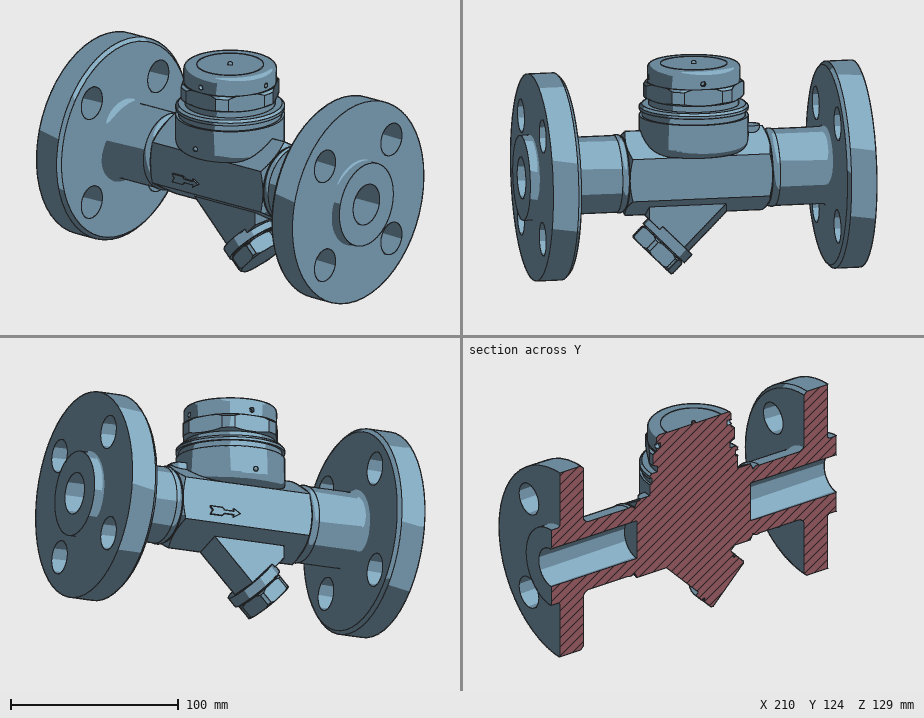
import cadquery as cq
import math


LENGTH = 210.0
FLANGE_DIA = 124.0
FLANGE_THICKNESS = 17.6
FLANGE_CHAMFER = 2.0
RAISED_FACE_DIA = 50.8
RAISED_FACE_HEIGHT = 6.3
RAISED_FACE_FILLET = 1.5
BOLT_CIRCLE_DIA = 88.5
BOLT_HOLE_DIA = 20.0
BOLT_COUNT = 4
PIPE_DIA = 46.0
PIPE_FILLET = 4.0
BEAD_LENGTH = 4.2
BEAD_RISE = 0.5
BEAD_GAP_WIDTH = 0.5
BEAD_GAP_DIA = 43.7
BORE_DIA = 25.0
BORE_DEPTH = 63.0

BODY_LENGTH = 87.0
BODY_FLATS = 44.5
BODY_CORNER_RADIUS = BODY_FLATS / math.sqrt(3)
BODY_CHAMFER_LENGTH = 1.7

LUG_X = -34.6
LUG_WIDTH = 10.5
LUG_TOP = 26.7

TOWER_DIA = 65.0
TOWER_BOTTOM = 13.0
TOWER_FILLET = 5.2
GROOVE_BOTTOM = 34.0
GROOVE_TOP = 37.8
GROOVE_DIA = 62.0
COLLAR_TOP = 41.0
COLLAR_CHAMFER = 1.5
NECK_DIA = 54.0
HEX_BOTTOM = 44.5
HEX_TOP = 54.8
HEX_FLATS = 55.5
HEX_CORNER_DIA = 60.0
HEX_CHAMFER = 1.5
CAP_DIA = 55.5
CAP_TOP = 65.5
CAP_FILLET = 3.0
CAP_RECESS_DIA = 40.0
CAP_RECESS_DEPTH = 0.2
CAP_HOLE_DIA = 3.0
CAP_HOLE_Z = 58.2
CAP_HOLE_DEPTH = 3.0
CAP_HOLE_COUNT = 4

BRANCH_ANGLE = 45.0
BRANCH_OFFSET = 17.8
BRANCH_WIDTH = 25.2
BRANCH_LENGTH = 39.5
BRANCH_UPPER_SIDE = 26.2
BRANCH_MAX_X = 29.6
PLUG_COLLAR_DIA = 34.0
PLUG_COLLAR_START = 37.0
PLUG_COLLAR_END = 43.7
PLUG_START = 44.5
PLUG_END = 54.0
PLUG_FLATS = 30.2
PLUG_CORNER_DIA = 33.5
PLUG_CHAMFER = 1.0

DOT_DIA = 3.0
TOWER_DOT_Z = 20.5

ARROW_TAIL_X = -25.6
ARROW_TIP_X = -5.7
ARROW_Z = -5.7
ARROW_HALF_HEIGHT = 2.5
ARROW_SHAFT_HALF_HEIGHT = 1.0
ARROW_NOTCH = 1.7
ARROW_HEAD_LENGTH = 4.2
ARROW_TAIL_LENGTH = 8.0
ARROW_RELIEF = 1.3


def disc(diameter, bottom, top):
    """Cylinder round the Z axis between two heights."""
    return cq.Workplane("XY", origin=(0, 0, bottom)).circle(diameter / 2).extrude(top - bottom)


def hexagon(across_flats):
    """Hexagon outline with a corner on the local X axis."""
    return cq.Workplane("XY").polygon(6, across_flats * 2 / math.sqrt(3))


def chamfered_nut(across_flats, corner_dia, bottom, top, bottom_chamfer, top_chamfer):
    """Hexagon along Z with its corners turned down; a chamfer is (radial, axial)."""
    radius = corner_dia / 2
    turned = (
        cq.Workplane("XZ")
        .moveTo(0, bottom)
        .lineTo(radius - bottom_chamfer[0], bottom)
        .lineTo(radius, bottom + bottom_chamfer[1])
        .lineTo(radius, top - top_chamfer[1])
        .lineTo(radius - top_chamfer[0], top)
        .lineTo(0, top)
        .close()
        .revolve(360, (0, 0, 0), (0, 1, 0))
    )
    prism = hexagon(across_flats).extrude(top - bottom).translate((0, 0, bottom))
    return prism.intersect(turned)


def flanged_end():
    """Flange with its raised face, pipe and weld bead on the -X side."""
    face_x = -LENGTH / 2
    front_x = face_x + RAISED_FACE_HEIGHT
    back_x = front_x + FLANGE_THICKNESS
    body_x = -BODY_LENGTH / 2
    face_radius = RAISED_FACE_DIA / 2
    flange_radius = FLANGE_DIA / 2
    pipe_radius = PIPE_DIA / 2
    gap_x = body_x - BEAD_GAP_WIDTH
    gap_radius = BEAD_GAP_DIA / 2
    bead_x = gap_x - BEAD_LENGTH
    arc_mid = 1 - math.sqrt(0.5)
    turned = (
        cq.Workplane("XY")
        .moveTo(face_x, 0)
        .lineTo(face_x, face_radius)
        .lineTo(front_x - RAISED_FACE_FILLET, face_radius)
        .threePointArc(
            (front_x - RAISED_FACE_FILLET * arc_mid, face_radius + RAISED_FACE_FILLET * arc_mid),
            (front_x, face_radius + RAISED_FACE_FILLET),
        )
        .lineTo(front_x, flange_radius)
        .lineTo(back_x - FLANGE_CHAMFER, flange_radius)
        .lineTo(back_x, flange_radius - FLANGE_CHAMFER)
        .lineTo(back_x, pipe_radius + PIPE_FILLET)
        .threePointArc(
            (back_x + PIPE_FILLET * arc_mid, pipe_radius + PIPE_FILLET * arc_mid),
            (back_x + PIPE_FILLET, pipe_radius),
        )
        .lineTo(bead_x, pipe_radius)
        .threePointArc((bead_x + BEAD_LENGTH / 2, pipe_radius + BEAD_RISE), (gap_x, gap_radius))
        .lineTo(body_x, gap_radius)
        .lineTo(body_x, 0)
        .close()
        .revolve(360, (0, 0, 0), (1, 0, 0))
    )
    bolt_holes = (
        cq.Workplane("YZ", origin=(face_x, 0, 0))
        .polarArray(BOLT_CIRCLE_DIA / 2, 180 / BOLT_COUNT, 360, BOLT_COUNT)
        .circle(BOLT_HOLE_DIA / 2)
        .extrude(back_x - face_x)
    )
    return turned.cut(bolt_holes)


def bore():
    """Blind flow bore entering from the -X end."""
    return cq.Workplane("YZ", origin=(-LENGTH / 2, 0, 0)).circle(BORE_DIA / 2).extrude(BORE_DEPTH)


def body():
    """Hexagonal body along X with flats on +/-Y and turned-down ends."""
    chamfer = (BODY_CORNER_RADIUS - BODY_FLATS / 2, BODY_CHAMFER_LENGTH)
    half = BODY_LENGTH / 2
    nut = chamfered_nut(BODY_FLATS, 2 * BODY_CORNER_RADIUS, -half, half, chamfer, chamfer)
    return nut.rotate((0, 0, 0), (0, 1, 0), 90)


def lug():
    """Round-nosed lug running along the top ridge into the tower."""
    nose = cq.Workplane("XY").center(LUG_X, 0).circle(LUG_WIDTH / 2).extrude(LUG_TOP)
    web = cq.Workplane("XY").center(LUG_X / 2, 0).rect(-LUG_X, LUG_WIDTH).extrude(LUG_TOP)
    return nose.union(web)


def tower():
    """Round tower with groove, collar, neck, hexagon and cap."""
    base = disc(TOWER_DIA, TOWER_BOTTOM, GROOVE_BOTTOM).faces("<Z").edges().fillet(TOWER_FILLET)
    groove = disc(GROOVE_DIA, GROOVE_BOTTOM, GROOVE_TOP)
    collar = disc(TOWER_DIA, GROOVE_TOP, COLLAR_TOP).faces(">Z").edges().chamfer(COLLAR_CHAMFER)
    neck = disc(NECK_DIA, COLLAR_TOP, HEX_BOTTOM)
    nut = chamfered_nut(
        HEX_FLATS,
        HEX_CORNER_DIA,
        HEX_BOTTOM,
        HEX_TOP,
        ((HEX_CORNER_DIA - NECK_DIA) / 2, HEX_CHAMFER),
        (HEX_CHAMFER, HEX_CHAMFER),
    )
    return base.union(groove).union(collar).union(neck).union(nut).union(cap())


def cap():
    """Rounded cap with a shallow recess on top and blind holes round its side."""
    blank = disc(CAP_DIA, HEX_TOP, CAP_TOP).faces(">Z").edges().fillet(CAP_FILLET)
    recess = disc(CAP_RECESS_DIA, CAP_TOP - CAP_RECESS_DEPTH, CAP_TOP)
    blank = blank.cut(recess)
    hole = (
        cq.Workplane("YZ", origin=(CAP_DIA / 2 - CAP_HOLE_DEPTH, 0, CAP_HOLE_Z))
        .circle(CAP_HOLE_DIA / 2)
        .extrude(2 * CAP_HOLE_DEPTH)
    )
    for index in range(CAP_HOLE_COUNT):
        blank = blank.cut(hole.rotate((0, 0, 0), (0, 0, 1), index * 360 / CAP_HOLE_COUNT))
    return blank


def dot(x, y, z):
    """Small spherical bump."""
    return cq.Workplane("XY", origin=(x, y, z)).sphere(DOT_DIA / 2)


def branch():
    """Sloping strainer branch with its collar and hexagon plug."""
    half_width = BRANCH_WIDTH / 2
    keel = BRANCH_WIDTH / math.sqrt(3)
    block = (
        cq.Workplane("XY")
        .polyline(
            [
                (keel, 0),
                (keel / 2, half_width),
                (-BRANCH_UPPER_SIDE, half_width),
                (-BRANCH_UPPER_SIDE, -half_width),
                (keel / 2, -half_width),
            ]
        )
        .close()
        .extrude(BRANCH_LENGTH)
    )
    collar = disc(PLUG_COLLAR_DIA, PLUG_COLLAR_START, PLUG_COLLAR_END)
    neck = disc(PLUG_FLATS, PLUG_COLLAR_END, PLUG_START)
    chamfer = (PLUG_CHAMFER, PLUG_CHAMFER)
    nut = chamfered_nut(PLUG_FLATS, PLUG_CORNER_DIA, PLUG_START, PLUG_END, chamfer, chamfer)
    plug = collar.union(neck).union(nut)
    return slope(block).intersect(branch_limit()).union(slope(plug))


def slope(shape):
    """Turn a shape built along +Z onto the axis of the branch; its +X side becomes the underside."""
    foot_x = -BRANCH_OFFSET * math.cos(math.radians(BRANCH_ANGLE))
    foot_z = -BRANCH_OFFSET * math.sin(math.radians(BRANCH_ANGLE))
    turned = shape.rotate((0, 0, 0), (0, 1, 0), 180 - BRANCH_ANGLE)
    return turned.translate((foot_x, 0, foot_z))


def branch_limit():
    """Half space that ends the branch block in an upright face on its +X side."""
    return cq.Workplane("XY").box(LENGTH, LENGTH, LENGTH).translate((BRANCH_MAX_X - LENGTH / 2, 0, 0))


def flow_arrow():
    """Raised arrow pointing along the flow."""
    neck_x = ARROW_TAIL_X + ARROW_TAIL_LENGTH
    shaft_x = neck_x + ARROW_HALF_HEIGHT - ARROW_SHAFT_HALF_HEIGHT
    head_x = ARROW_TIP_X - ARROW_HEAD_LENGTH
    upper = [
        (ARROW_TAIL_X, ARROW_HALF_HEIGHT),
        (neck_x, ARROW_HALF_HEIGHT),
        (shaft_x, ARROW_SHAFT_HALF_HEIGHT),
        (head_x, ARROW_SHAFT_HALF_HEIGHT),
        (head_x, ARROW_HALF_HEIGHT),
    ]
    lower = [(x, -z) for x, z in reversed(upper)]
    outline = [(ARROW_TAIL_X + ARROW_NOTCH, 0)] + upper + [(ARROW_TIP_X, 0)] + lower
    return (
        cq.Workplane("XZ", origin=(0, -BODY_FLATS / 2, ARROW_Z))
        .polyline(outline)
        .close()
        .extrude(ARROW_RELIEF)
    )


result = body().union(lug()).union(tower()).union(branch()).union(flow_arrow())
result = result.union(flanged_end()).union(flanged_end().mirror("YZ"))
result = result.union(dot(0, 0, CAP_TOP)).union(dot(0, -TOWER_DIA / 2, TOWER_DOT_Z))
result = result.cut(bore()).cut(bore().mirror("YZ"))